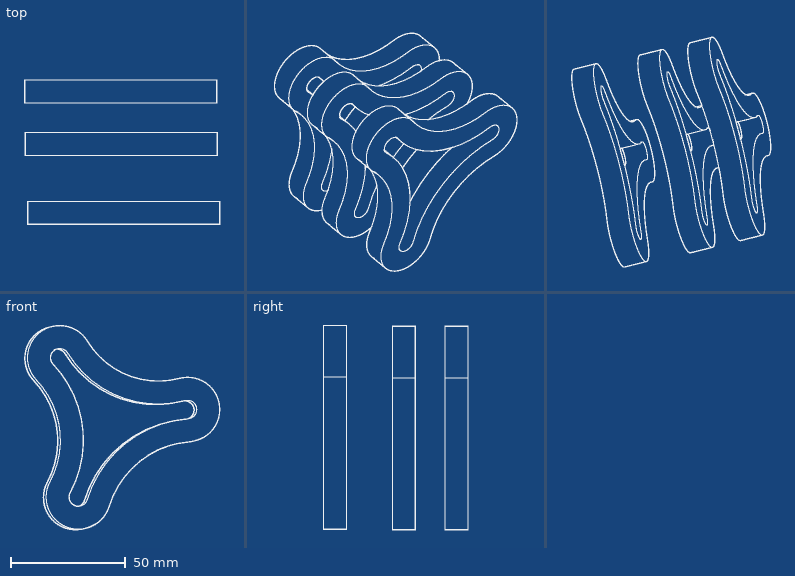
import cadquery as cq
import math

LOBE_CENTRES = [(-21.2, 27.65), (34.4, 5.2), (-13.1, -32.9)]

BAR_WIDTH = 10.05
THICKNESS = BAR_WIDTH
SLOT_END_RADIUS = 4.0
LOBE_RADIUS = SLOT_END_RADIUS + BAR_WIDTH
SIDE_RADII = [36.0, 40.0, 38.1]

FRONT_LINK = (0.0, 0.0, 0.0)
MIDDLE_LINK = (-1.1, 30.0, -0.3)
BACK_LINK = (-1.25, 52.8, -0.3)


def along(start, end, distance):
    """Point at a distance from start on the line towards end."""
    length = math.dist(start, end)
    return tuple(a + (b - a) * distance / length for a, b in zip(start, end))


def side_centre(first, second, radius):
    """Centre of the concave side that is tangent to two neighbouring lobes."""
    middle = tuple((a + b) / 2 for a, b in zip(first, second))
    half_chord = math.dist(first, second) / 2
    height = math.sqrt((LOBE_RADIUS + radius) ** 2 - half_chord**2)
    normal_end = (middle[0] - (second[1] - first[1]), middle[1] + (second[0] - first[0]))
    return along(middle, normal_end, height)


def rounded_triangle(lobe_radius):
    """Solid bounded by three convex lobes and three concave tangent sides."""
    count = len(LOBE_CENTRES)
    next_lobes = LOBE_CENTRES[1:] + LOBE_CENTRES[:1]
    sides = [side_centre(*places) for places in zip(LOBE_CENTRES, next_lobes, SIDE_RADII)]
    middle_of_all = tuple(sum(values) / count for values in zip(*LOBE_CENTRES))

    outline = cq.Workplane("XZ").moveTo(*along(LOBE_CENTRES[0], sides[-1], lobe_radius))
    for i, lobe in enumerate(LOBE_CENTRES):
        following = next_lobes[i]
        side_radius = SIDE_RADII[i] + LOBE_RADIUS - lobe_radius
        lobe_tip = along(lobe, middle_of_all, -lobe_radius)
        lobe_end = along(lobe, sides[i], lobe_radius)
        chord_middle = tuple((a + b) / 2 for a, b in zip(lobe, following))
        side_middle = along(sides[i], chord_middle, side_radius)
        side_end = along(following, sides[i], lobe_radius)
        outline = outline.threePointArc(lobe_tip, lobe_end)
        outline = outline.threePointArc(side_middle, side_end)
    return outline.close().extrude(-THICKNESS)


def make_link():
    """Closed three-lobed band of constant width."""
    opening = rounded_triangle(SLOT_END_RADIUS)
    return rounded_triangle(LOBE_RADIUS).cut(opening)


links = [make_link().translate(place) for place in (FRONT_LINK, MIDDLE_LINK, BACK_LINK)]

result = cq.Compound.makeCompound([link.val() for link in links])